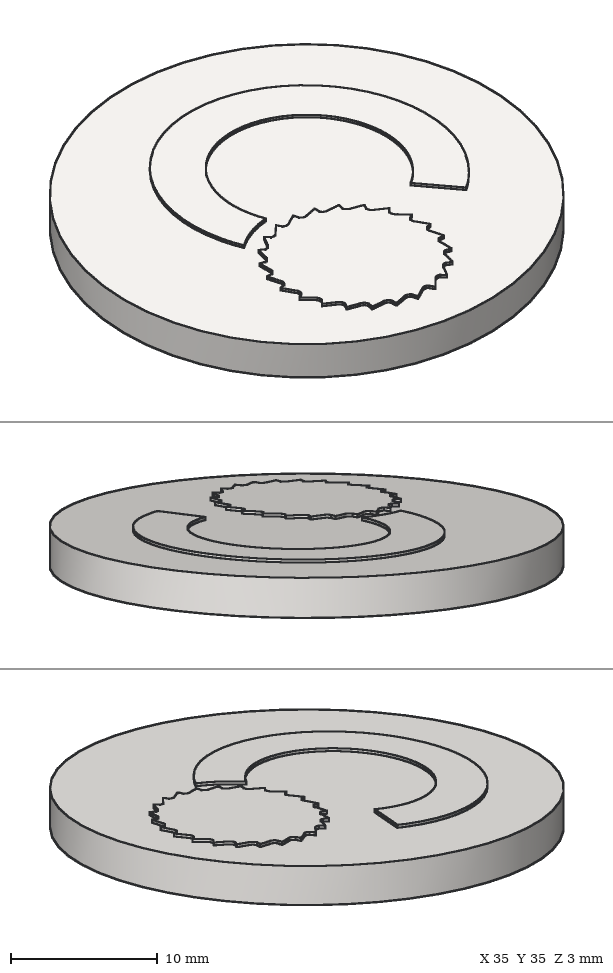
import cadquery as cq
import math

plate_diameter = 35
total_height = 3.0
relief_height = 0.2
plate_thickness = total_height - relief_height

stretch_angle = 44
stretch_ratio = 1.11

ring_center = (-1.9, 1.8)
ring_outer_radius = 10.9
ring_inner_radius = 7.07
opening_apex = (-1.7, 1.15)
ring_end_angle = 42.6
opening_reach = plate_diameter / 2

blade_center = (7.9, -2.17)
tooth_count = 24
tooth_pitch = 360 / tooth_count
tip_angle = -0.2
tip_radius = 6.65
back_foot_angle = 7.5
back_foot_radius = 6.15
gullet_angle = 10.5
gullet_radius = 6.05
front_foot_angle = 13.4
front_foot_radius = 6.2

clearance_radius = 7.7


def stretched_disc(center, radius):
    """Raised ellipse standing on the plate, longest along the stretch diagonal."""
    return (
        cq.Workplane("XY", origin=(center[0], center[1], plate_thickness))
        .ellipse(radius, radius / stretch_ratio, rotation_angle=stretch_angle)
        .extrude(relief_height)
    )


def blade_point(angle, radius):
    """Point of the round blade, moved to where the diagonal stretch puts it."""
    turn = math.radians(stretch_angle)
    from_diagonal = math.radians(angle) - turn
    along = radius * math.cos(from_diagonal)
    across = radius * math.sin(from_diagonal) / stretch_ratio
    x = blade_center[0] + along * math.cos(turn) - across * math.sin(turn)
    y = blade_center[1] + along * math.sin(turn) + across * math.cos(turn)
    return (x, y)


def make_ring():
    """C-shaped ring, open between its upper end and the blade."""
    ring = stretched_disc(ring_center, ring_outer_radius)
    ring = ring.cut(stretched_disc(ring_center, ring_inner_radius))

    end_direction = math.radians(ring_end_angle)
    far_corner = (
        opening_apex[0] + opening_reach * math.cos(end_direction),
        opening_apex[1] + opening_reach * math.sin(end_direction),
    )
    opening = (
        cq.Workplane("XY", origin=(0, 0, plate_thickness))
        .polyline([opening_apex, blade_center, (far_corner[0], blade_center[1]), far_corner])
        .close()
        .extrude(relief_height)
    )
    return ring.cut(opening).cut(stretched_disc(blade_center, clearance_radius))


def make_blade():
    """Saw blade: each tooth has a straight back, a round gullet and a steep front."""
    outline = cq.Workplane("XY", origin=(0, 0, plate_thickness))
    outline = outline.moveTo(*blade_point(tip_angle, tip_radius))
    for tooth in range(tooth_count):
        start = tooth * tooth_pitch
        outline = outline.lineTo(*blade_point(start + back_foot_angle, back_foot_radius))
        outline = outline.threePointArc(
            blade_point(start + gullet_angle, gullet_radius),
            blade_point(start + front_foot_angle, front_foot_radius),
        )
        if tooth < tooth_count - 1:
            outline = outline.lineTo(*blade_point(start + tooth_pitch + tip_angle, tip_radius))
    return outline.close().extrude(relief_height)


plate = cq.Workplane("XY").circle(plate_diameter / 2).extrude(plate_thickness)
result = plate.union(make_ring()).union(make_blade())